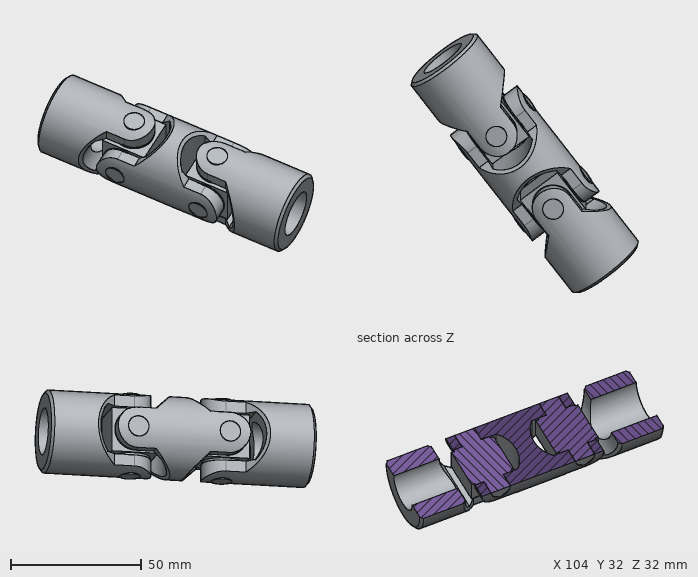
import cadquery as cq

total_length = 104.0
body_diameter = 32.0
joint_spacing = 36.0
body_radius = body_diameter / 2
joint_x = joint_spacing / 2

arm_width = 16.0
fork_gap = 18.9
hub_flank_reach = 15.8
middle_flank_reach = 15.3
hub_bowl_radius = 14.6
middle_bowl_radius = 14.0

left_bore_diameter = 16.0
right_bore_diameter = 18.0
chamfer_radial = 1.2
chamfer_axial = 1.0

block_length = 18.1
block_width = 17.9
block_height = 17.2
boss_diameter = 15.5
pin_diameter = 8.0


def fork(body_length, flank_reach, bowl_radius):
    """Round bar with a fork at its +X end, the joint centre at the origin and the pin axis along Z.

    The bar starts at -body_length and its sides slope in at 45 degrees to the rounded arms.
    """
    half_width = arm_width / 2
    flank_start = -flank_reach
    flank_end = flank_start + body_radius - half_width
    outline = (
        cq.Workplane("XY")
        .moveTo(-body_length, -body_radius)
        .lineTo(flank_start, -body_radius)
        .lineTo(flank_end, -half_width)
        .lineTo(0, -half_width)
        .threePointArc((half_width, 0), (0, half_width))
        .lineTo(flank_end, half_width)
        .lineTo(flank_start, body_radius)
        .lineTo(-body_length, body_radius)
        .close()
        .extrude(body_radius, both=True)
    )
    bar_start = cq.Workplane("YZ", origin=(-body_length, 0, 0))
    bar = bar_start.circle(body_radius).extrude(body_length + half_width)
    gap_slab = cq.Workplane("XY").box(2 * bowl_radius, body_diameter, fork_gap)
    gap = cq.Workplane("XZ").circle(bowl_radius).extrude(body_radius, both=True).intersect(gap_slab)
    pin_hole = cq.Workplane("XY").circle(pin_diameter / 2).extrude(body_radius, both=True)
    return bar.intersect(outline).cut(gap).cut(pin_hole)


def make_hub(bore_diameter):
    """Left hub with the pin axis along Z and a bore that opens into the fork gap."""
    length = total_length / 2 - joint_x
    chamfered_bar = (
        cq.Workplane("XY")
        .moveTo(-length, 0)
        .lineTo(-length, body_radius - chamfer_radial)
        .lineTo(-length + chamfer_axial, body_radius)
        .lineTo(body_radius, body_radius)
        .lineTo(body_radius, 0)
        .close()
        .revolve(360, (0, 0, 0), (1, 0, 0))
    )
    bore = cq.Workplane("YZ", origin=(-length, 0, 0)).circle(bore_diameter / 2).extrude(length)
    hub = fork(length, hub_flank_reach, hub_bowl_radius).intersect(chamfered_bar).cut(bore)
    return hub.translate((-joint_x, 0, 0))


def make_middle():
    """Double fork between the two joints, with both pin axes along Y."""
    right_half = (
        fork(joint_x, middle_flank_reach, middle_bowl_radius)
        .rotate((0, 0, 0), (1, 0, 0), 90)
        .translate((joint_x, 0, 0))
    )
    return right_half.union(right_half.mirror("YZ"))


def make_cross(x):
    """Centre block with a boss and a pin on each of its Y and Z faces."""
    cross = cq.Workplane("XY").box(block_length, block_width, block_height)
    for plane in ("XY", "XZ"):
        boss = cq.Workplane(plane).circle(boss_diameter / 2).extrude(fork_gap / 2, both=True)
        pin = cq.Workplane(plane).circle(pin_diameter / 2).extrude(body_radius, both=True)
        cross = cross.union(boss).union(pin)
    return cross.translate((x, 0, 0))


left_hub = make_hub(left_bore_diameter)
right_hub = make_hub(right_bore_diameter).mirror("YZ")
middle = make_middle()
crosses = [make_cross(x).val() for x in (-joint_x, joint_x)]

result = cq.Compound.makeCompound([left_hub.val(), right_hub.val(), middle.val(), *crosses])